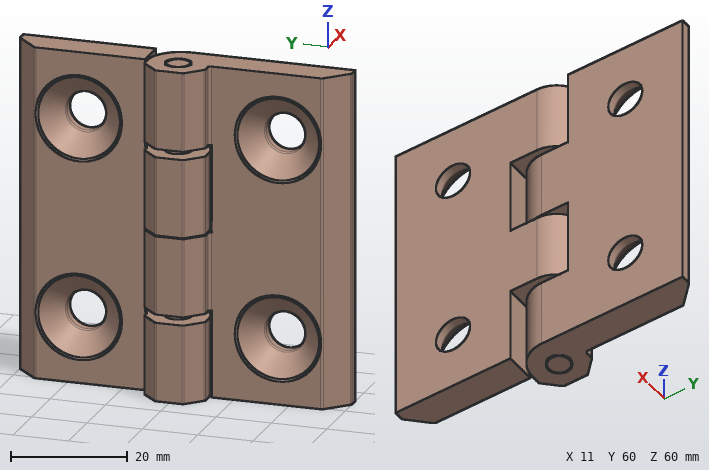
import cadquery as cq
import math

height = 60.0
half_width = 30.0
leaf_thickness = 6.0
end_chamfer = 4.0
edge_radius = 0.6

knuckle_half_width = 5.5
knuckle_front = 5.0
knuckle_chamfer = 3.0
corner_radius = 0.5
leaf_inner_edge = knuckle_half_width + corner_radius
knuckle_pitch = height / 4
outer_gap = 1.5
thrust_gap = 0.2

pin_radius = 2.3
pin_end_chamfer = 0.2

hole_offset = 18.0
hole_radius = 3.55
countersink_radius = 7.55
rim_radius = 0.6

pick_margin = 0.6
sine_45 = math.sqrt(0.5)


def make_plate():
    """Leaf plate on the -Y side, chamfered along its outer edge."""
    outer_front_edges = cq.selectors.BoxSelector(
        (-pick_margin, -half_width - pick_margin, -height),
        (end_chamfer + pick_margin, -half_width + end_chamfer + pick_margin, height),
    )
    return (
        cq.Workplane("XY", origin=(0, 0, -height / 2))
        .moveTo(0, -leaf_inner_edge)
        .lineTo(0, -half_width + end_chamfer)
        .lineTo(end_chamfer, -half_width)
        .lineTo(leaf_thickness, -half_width)
        .lineTo(leaf_thickness, -leaf_inner_edge)
        .close()
        .extrude(height)
        .edges("|Z")
        .edges(outer_front_edges)
        .fillet(edge_radius)
    )


def make_knuckle(bottom, top):
    """Octagonal-fronted, round-backed knuckle joined to the -Y leaf by a short web."""
    back_centre = knuckle_half_width - leaf_thickness
    arc_step = leaf_thickness * sine_45
    front_edges = cq.selectors.BoxSelector(
        (-knuckle_front - pick_margin, -half_width, -height),
        (-corner_radius - pick_margin, half_width, height),
    )
    front_corner = knuckle_half_width - knuckle_chamfer
    return (
        cq.Workplane("XY", origin=(0, 0, bottom))
        .moveTo(leaf_thickness, -leaf_inner_edge)
        .lineTo(leaf_thickness, back_centre)
        .threePointArc((arc_step, back_centre + arc_step), (0, knuckle_half_width))
        .lineTo(knuckle_chamfer - knuckle_front, knuckle_half_width)
        .lineTo(-knuckle_front, front_corner)
        .lineTo(-knuckle_front, -front_corner)
        .lineTo(knuckle_chamfer - knuckle_front, -knuckle_half_width)
        .lineTo(-corner_radius, -knuckle_half_width)
        .radiusArc((0, -leaf_inner_edge), corner_radius)
        .close()
        .extrude(top - bottom)
        .edges("|Z")
        .edges(front_edges)
        .fillet(corner_radius)
    )


def make_screw_hole(z):
    """Cutter for one countersunk hole through the -Y leaf, from its front face."""
    cone_depth = countersink_radius - hole_radius
    tangent = rim_radius * (math.sqrt(2) - 1)
    slope = tangent * sine_45
    return (
        cq.Workplane("XY", origin=(0, -hole_offset, z))
        .lineTo(0, countersink_radius + tangent)
        .radiusArc((slope, countersink_radius - slope), rim_radius)
        .lineTo(cone_depth - slope, hole_radius + slope)
        .radiusArc((cone_depth + tangent, hole_radius), -rim_radius)
        .lineTo(leaf_thickness, hole_radius)
        .lineTo(leaf_thickness, 0)
        .close()
        .revolve(360, (0, 0, 0), (1, 0, 0))
    )


def make_leaf():
    """One hinge leaf on the -Y side; its knuckles are the first and third from the top."""
    top_knuckle = make_knuckle(knuckle_pitch + outer_gap / 2, height / 2)
    third_knuckle = make_knuckle(-knuckle_pitch + outer_gap / 2, -thrust_gap / 2)
    leaf = make_plate().union(top_knuckle).union(third_knuckle)
    for z in (-hole_offset, hole_offset):
        leaf = leaf.cut(make_screw_hole(z))
    pin_bore = cq.Workplane("XY").circle(pin_radius).extrude(height / 2, both=True)
    return leaf.cut(pin_bore)


def make_pin():
    """Full-length hinge pin with lightly chamfered ends."""
    return (
        cq.Workplane("XY")
        .circle(pin_radius)
        .extrude(height / 2, both=True)
        .edges("%CIRCLE")
        .chamfer(pin_end_chamfer)
    )


leaves = [make_leaf().rotate((0, 0, 0), (1, 0, 0), turn) for turn in (0, 180)]
pin = make_pin()

result = cq.Compound.makeCompound([*[leaf.val() for leaf in leaves], pin.val()])